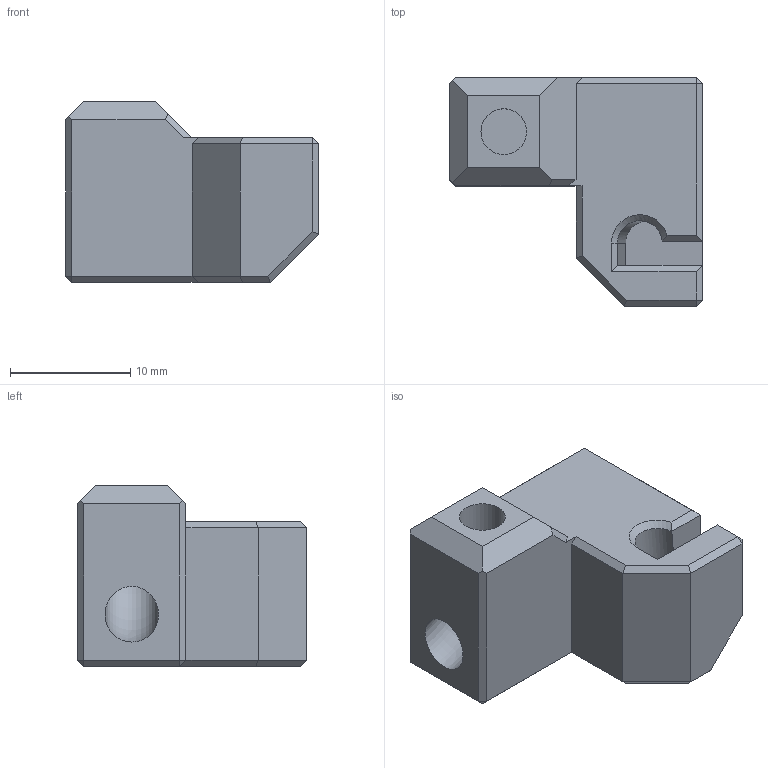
import cadquery as cq
import math

length = 21.0
width = 19.0
tower_height = 15.0
body_height = 12.0
edge_chamfer = 0.5

body_left = 10.5
plan_corner_cut = 4.0
lower_corner_cut = 4.0

tower_width = 9.0
tower_front = width - tower_width
tower_reach = 12.0
crown_chamfer = 1.5
ramp_top_x = body_left - (tower_height - body_height)

tower_hole_diameter = 3.8
tower_hole_depth = 4.5
passage_x = tower_width / 2
passage_y = tower_front + tower_width / 2
membrane = 0.4
duct_diameter = 4.45
duct_bend_radius = 6.0
duct_top = tower_height - tower_hole_depth - membrane

pocket_radius = 1.85
pocket_x = 15.8
pocket_y = 5.25
slot_width = 2.0
pocket_lean = 5.0
pocket_depth = 8.0
overshoot = 2.0


def make_body():
    """Pentagonal block with the lower right edge cut and the outer edges chamfered."""
    body = (
        cq.Workplane("XY")
        .moveTo(body_left, plan_corner_cut)
        .lineTo(body_left + plan_corner_cut, 0)
        .lineTo(length, 0)
        .lineTo(length, width)
        .lineTo(body_left, width)
        .close()
        .extrude(body_height)
    )
    body = body.edges(">X and <Z").chamfer(lower_corner_cut)
    top_edges = body.faces(">Z").edges()
    bottom_edges = body.faces("<Z").edges("not >X")
    right_uprights = body.edges("|Z and >X")
    lower_cut_ends = body.faces("<Y or >Y").edges("not(|X or |Z)")
    outer_edges = top_edges.add(bottom_edges).add(right_uprights).add(lower_cut_ends)
    return outer_edges.chamfer(edge_chamfer)


def make_tower_block(bottom, height):
    """Plain box of the tower's plan."""
    block = cq.Workplane("XY").box(tower_reach, tower_width, height, centered=False)
    return block.translate((0, tower_front, bottom))


def make_ramp_prism():
    """Prism across the tower with the 45 degree ramp on its right side."""
    ramp_end_z = tower_height - (tower_reach - ramp_top_x)
    return (
        cq.Workplane("XZ", origin=(0, tower_front, 0))
        .polyline([
            (0, 0),
            (tower_reach, 0),
            (tower_reach, ramp_end_z),
            (ramp_top_x, tower_height),
            (0, tower_height),
        ])
        .close()
        .extrude(-tower_width)
    )


def make_tower():
    """Stem up to the body top and a chamfered crown above it, with the ramp on its right side."""
    ramp = make_ramp_prism()
    stem = make_tower_block(0, body_height)
    stem = stem.faces("<Z").edges("not >X").add(stem.edges("|Z and <X")).chamfer(edge_chamfer)
    crown = make_tower_block(body_height, tower_height - body_height)
    crown = crown.faces(">Z").edges("not >X").chamfer(crown_chamfer)
    crown = crown.edges("|Z and <X").chamfer(edge_chamfer)
    eased_ramp = ramp.edges("<Y").edges("not(|X or |Z)").chamfer(edge_chamfer)
    level_stem = stem.edges(">Y and >Z").chamfer(edge_chamfer)
    return stem.intersect(ramp).union(level_stem).union(crown.intersect(eased_ramp))


def make_passage():
    """Cutter for the blind hole in the crown and the duct that bends up from the left side."""
    hole = (
        cq.Workplane("XY", origin=(passage_x, passage_y, tower_height))
        .circle(tower_hole_diameter / 2)
        .extrude(-tower_hole_depth)
    )
    duct = (
        cq.Workplane("XY", origin=(passage_x, passage_y, duct_top))
        .circle(duct_diameter / 2)
        .revolve(90, (-duct_bend_radius, 0), (-duct_bend_radius, 1))
    )
    return hole.union(duct)


def draw_keyhole(plane, growth=0.0):
    """Pocket outline: round back, square front left corner and a slot running out to the right."""
    radius = pocket_radius + growth
    slot_back = slot_width - pocket_radius + growth
    mouth = math.sqrt(radius**2 - slot_back**2)
    slot_end = length - pocket_x + overshoot
    return (
        plane
        .moveTo(-radius, 0)
        .threePointArc((0, radius), (mouth, slot_back))
        .lineTo(slot_end, slot_back)
        .lineTo(slot_end, -radius)
        .lineTo(-radius, -radius)
        .close()
    )


def make_pocket():
    """Cutter for the leaning keyhole pocket and the chamfer around its mouth."""
    rim = (pocket_x, pocket_y, body_height - edge_chamfer)
    lean = math.radians(pocket_lean)
    along_slot = (math.cos(lean), 0, math.sin(lean))
    axis = (-math.sin(lean), 0, math.cos(lean))
    leaning = cq.Workplane(cq.Plane(origin=rim, xDir=along_slot, normal=axis))
    shaft = draw_keyhole(leaning.workplane(offset=edge_chamfer)).extrude(-pocket_depth)
    flare = draw_keyhole(cq.Workplane("XY", origin=rim))
    flare = draw_keyhole(flare.workplane(offset=edge_chamfer), edge_chamfer).loft(ruled=True)
    return shaft.union(flare)


result = make_body().union(make_tower()).cut(make_passage()).cut(make_pocket())